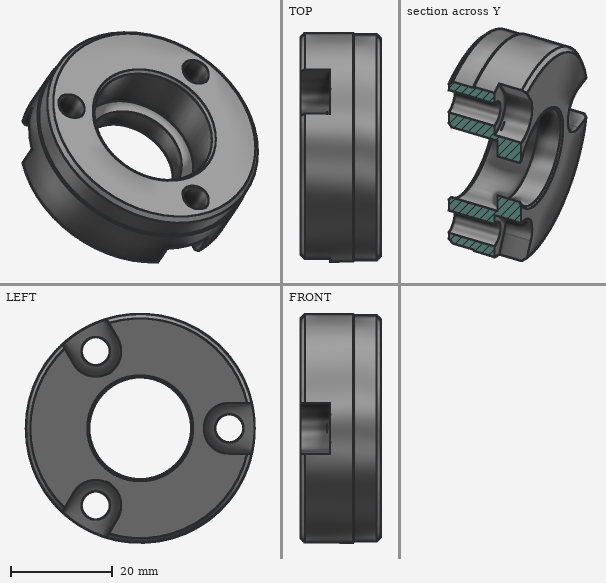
import cadquery as cq

flange_diameter = 45.0
rim_diameter = 44.5
total_width = 15.82
rim_width = 5.3
flange_width = total_width - rim_width
outer_chamfer = 0.9
step_chamfer = (flange_diameter - rim_diameter) / 2

bore_diameter = 20.0
bore_chamfer = 0.4
counterbore_diameter = 24.8
counterbore_chamfer = 0.6
counterbore_depth = 10.6
counterbore_start = total_width - counterbore_depth

slot_count = 3
slot_width = 10.0
slot_floor_thickness = 10.0
slot_depth = total_width - slot_floor_thickness
bolt_circle_radius = 17.5
bolt_hole_diameter = 5.5
first_slot_angle = 180.0


def cylinder(diameter, start, width, offset=0):
    """Solid cylinder parallel to X, with its axis shifted along +Y by the offset."""
    return cq.Workplane("YZ", origin=(start, offset, 0)).circle(diameter / 2).extrude(width)


def make_body():
    """Flange and slightly smaller rim, chamfered at both outer ends and at the step."""
    flange = cylinder(flange_diameter, 0, flange_width)
    flange = flange.faces("<X").chamfer(outer_chamfer)
    flange = flange.faces(">X").chamfer(step_chamfer)
    rim = cylinder(rim_diameter, flange_width, rim_width)
    rim = rim.faces(">X").chamfer(outer_chamfer)
    return flange.union(rim)


def make_bore():
    """Stepped through bore: narrow at the slotted face, wide behind, with both mouths chamfered."""
    narrow_radius = bore_diameter / 2
    wide_radius = counterbore_diameter / 2
    profile = [
        (0, 0),
        (0, narrow_radius + bore_chamfer),
        (bore_chamfer, narrow_radius),
        (counterbore_start, narrow_radius),
        (counterbore_start, wide_radius),
        (total_width - counterbore_chamfer, wide_radius),
        (total_width, wide_radius + counterbore_chamfer),
        (total_width, 0),
    ]
    return cq.Workplane("XY").polyline(profile).close().revolve(360, (0, 0, 0), (1, 0, 0))


def make_slot():
    """Round-ended slot along +Y, open at the outside, with its bolt hole."""
    channel_length = flange_diameter / 2
    channel_centre = bolt_circle_radius + channel_length / 2
    channel = (
        cq.Workplane("YZ", origin=(0, channel_centre, 0))
        .rect(channel_length, slot_width)
        .extrude(slot_depth)
    )
    round_end = cylinder(slot_width, 0, slot_depth, bolt_circle_radius)
    bolt_hole = cylinder(bolt_hole_diameter, 0, total_width, bolt_circle_radius)
    return channel.union(round_end).union(bolt_hole)


result = make_body().cut(make_bore())
slot = make_slot()
for index in range(slot_count):
    angle = first_slot_angle + index * 360.0 / slot_count
    result = result.cut(slot.rotate((0, 0, 0), (1, 0, 0), angle))